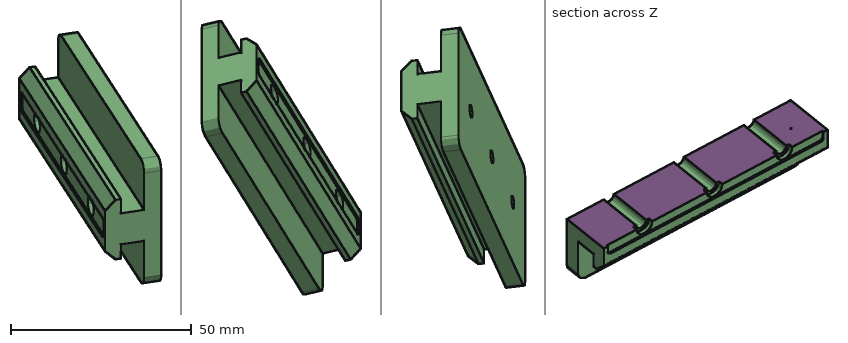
import cadquery as cq

length = 80.0
plate_height = 39.0
plate_thickness = 5.0
corner_radius = 3.0

total_depth = 16.3
neck_height = 9.8
head_height = 18.8
head_thickness = 4.6
head_chamfer = 3.0

pocket_end_margin = 1.5
pocket_length = length - 2 * pocket_end_margin
pocket_height = 6.0
pocket_depth = 0.5
pocket_corner_radius = 1.0

hole_count = 3
hole_pitch = 25.0
hole_diameter = 3.5
counterbore_diameter = 5.4
counterbore_depth = 1.5

plate_front_y = -plate_thickness
rail_front_y = -total_depth
head_back_y = rail_front_y + head_thickness
pocket_floor_y = rail_front_y + pocket_depth


def make_plate():
    """Rectangular plate with rounded corners."""
    plate = cq.Workplane("XZ").rect(length, plate_height).extrude(plate_thickness)
    return plate.edges("|Y").fillet(corner_radius)


def make_rail():
    """T-section rail with chamfered front edges, running the full length."""
    upper_profile = [
        (plate_front_y, neck_height / 2),
        (head_back_y, neck_height / 2),
        (head_back_y, head_height / 2),
        (rail_front_y + head_chamfer, head_height / 2),
        (rail_front_y, head_height / 2 - head_chamfer),
    ]
    lower_profile = [(y, -z) for y, z in reversed(upper_profile)]
    profile = cq.Workplane("YZ").polyline(upper_profile + lower_profile).close()
    return profile.extrude(length / 2, both=True)


def make_pocket():
    """Cutter for the shallow rounded pocket."""
    pocket = (
        cq.Workplane("XZ", origin=(0, pocket_floor_y, 0))
        .rect(pocket_length, pocket_height)
        .extrude(pocket_depth)
    )
    return pocket.edges("|Y").fillet(pocket_corner_radius)


def make_screw_hole(x):
    """Cutter for one through hole counterbored from the pocket floor."""
    through = cq.Workplane("XZ").center(x, 0).circle(hole_diameter / 2).extrude(total_depth)
    counterbore = (
        cq.Workplane("XZ", origin=(x, pocket_floor_y + counterbore_depth, 0))
        .circle(counterbore_diameter / 2)
        .extrude(counterbore_depth)
    )
    return through.union(counterbore)


result = make_plate().union(make_rail()).cut(make_pocket())
for index in range(hole_count):
    hole_x = (index - (hole_count - 1) / 2) * hole_pitch
    result = result.cut(make_screw_hole(hole_x))